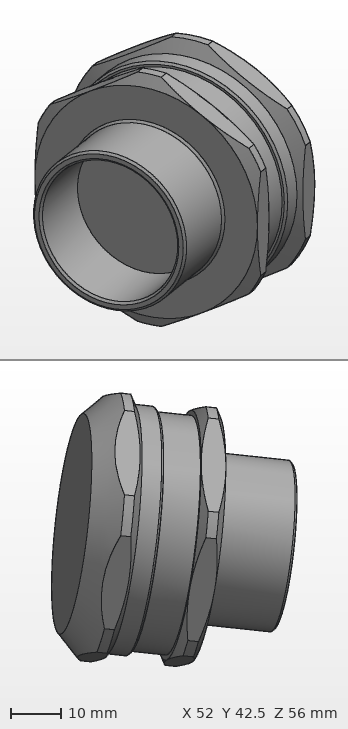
import cadquery as cq
import math

total_length = 42.5
tube_length = 15.95
small_nut_end = 20.9
neck_end = 28.4
collar_end = 32.9
bore_depth = 15.5

tube_diameter = 34.4
bore_diameter = 30.4
neck_diameter = 48.0
collar_diameter = 50.0
small_nut_flats = collar_diameter
small_nut_corners = 54.95
large_nut_flats = 52.0
large_nut_corners = 55.95
large_nut_end_diameter = 44.2

edge_chamfer = 0.5
nut_bevel_angle = math.radians(30)


def revolved(profile):
    """Revolve a closed (radius, y) outline about the Y axis."""
    return cq.Workplane("XY").polyline(profile).close().revolve(360, (0, 0, 0), (0, 1, 0))


def hexagon(across_flats, start, end):
    """Hexagonal prism along Y with two flats facing the X directions."""
    across_corners = across_flats / math.cos(math.radians(30))
    return (
        cq.Workplane("XZ", origin=(0, start, 0))
        .transformed(rotate=(0, 0, 30))
        .polygon(6, across_corners)
        .extrude(start - end)
    )


def small_nut():
    """Hexagon with both faces bevelled down to the circle inside the flats."""
    face_radius = small_nut_flats / 2
    corner_radius = small_nut_corners / 2
    bevel = (corner_radius - face_radius) * math.tan(nut_bevel_angle)
    envelope = revolved([
        (0, tube_length),
        (face_radius, tube_length),
        (corner_radius, tube_length + bevel),
        (corner_radius, small_nut_end - bevel),
        (face_radius, small_nut_end),
        (0, small_nut_end),
    ])
    return hexagon(small_nut_flats, tube_length, small_nut_end).intersect(envelope)


def large_nut():
    """Hexagon bevelled at the collar and coned at 45 degrees at the closed end."""
    face_radius = collar_diameter / 2
    corner_radius = large_nut_corners / 2
    end_radius = large_nut_end_diameter / 2
    bevel = (corner_radius - face_radius) * math.tan(nut_bevel_angle)
    cone_length = corner_radius - end_radius
    envelope = revolved([
        (0, collar_end),
        (face_radius, collar_end),
        (corner_radius, collar_end + bevel),
        (corner_radius, total_length - cone_length),
        (end_radius, total_length),
        (0, total_length),
    ])
    return hexagon(large_nut_flats, collar_end, total_length).intersect(envelope)


def round_body():
    """Tube flared at its root, neck and collar, as one solid of revolution."""
    tube_radius = tube_diameter / 2
    neck_radius = neck_diameter / 2
    collar_radius = collar_diameter / 2
    return revolved([
        (0, 0),
        (tube_radius - edge_chamfer, 0),
        (tube_radius, edge_chamfer),
        (tube_radius, tube_length - edge_chamfer),
        (tube_radius + edge_chamfer, tube_length),
        (neck_radius, tube_length),
        (neck_radius, neck_end),
        (collar_radius - edge_chamfer, neck_end),
        (collar_radius, neck_end + edge_chamfer),
        (collar_radius, collar_end),
        (0, collar_end),
    ])


def bore():
    """Blind bore with a chamfered mouth."""
    bore_radius = bore_diameter / 2
    return revolved([
        (0, 0),
        (bore_radius + edge_chamfer, 0),
        (bore_radius, edge_chamfer),
        (bore_radius, bore_depth),
        (0, bore_depth),
    ])


body = round_body().union(small_nut()).union(large_nut()).cut(bore())

result = body.translate((0, -total_length / 2, 0))